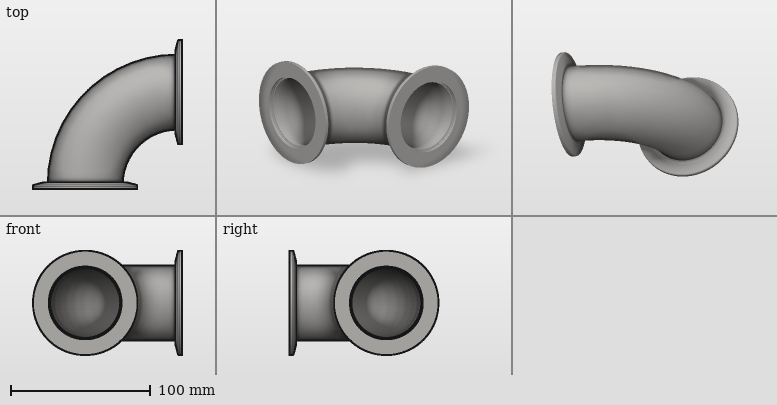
import cadquery as cq
import math

TUBE_BORE = 50.0
TUBE_OD = 54.0
LEG_LENGTH = 69.5

FLANGE_OD = 75.0
FLANGE_THICKNESS = 5.0
HUB_DIAMETER = 59.2
TAPER_ANGLE = 15.0
RIM_ROUND = 1.0
MOUTH_DIAMETER = 52.4
MOUTH_DEPTH = 2.0
STEP_DIAMETER = 51.7
STEP_DEPTH = 3.0
SOCKET_DEPTH = 3.5

BEND_RADIUS = LEG_LENGTH - SOCKET_DEPTH
TAPER_HEIGHT = (FLANGE_OD - HUB_DIAMETER) / 2 * math.tan(math.radians(TAPER_ANGLE))
RIM_HEIGHT = FLANGE_THICKNESS - TAPER_HEIGHT


def bore_cutter(diameter, depth):
    """Cylinder on the flange axis, from the sealing face to a depth."""
    return cq.Workplane("XY").circle(diameter / 2).extrude(depth)


def make_flange():
    """Flange with its sealing face on the XY plane and its hub toward +Z."""
    profile = [
        (0, 0),
        (FLANGE_OD / 2, 0),
        (FLANGE_OD / 2, RIM_HEIGHT),
        (HUB_DIAMETER / 2, FLANGE_THICKNESS),
        (0, FLANGE_THICKNESS),
    ]
    blank = cq.Workplane("XZ").polyline(profile).close().revolve(360, (0, 0), (0, 1))
    rim_edge = cq.selectors.NearestToPointSelector((0, 0, RIM_HEIGHT))
    return (
        blank.edges("%CIRCLE").edges(rim_edge).fillet(RIM_ROUND)
        .cut(bore_cutter(TUBE_BORE, FLANGE_THICKNESS))
        .cut(bore_cutter(STEP_DIAMETER, STEP_DEPTH))
        .cut(bore_cutter(MOUTH_DIAMETER, MOUTH_DEPTH))
    )


def make_quarter_bend(diameter):
    """Solid quarter-turn round bar between the two pipe ends."""
    return (
        cq.Workplane("XZ", origin=(0, -BEND_RADIUS, 0))
        .circle(diameter / 2)
        .revolve(90, (BEND_RADIUS, 0), (BEND_RADIUS, -1))
    )


bend = make_quarter_bend(TUBE_OD)
elbow = bend.cut(make_quarter_bend(TUBE_BORE))

placements = [
    ((1, 0, 0), -90, (0, -LEG_LENGTH, 0)),
    ((0, 1, 0), -90, (LEG_LENGTH, 0, 0)),
]
flanges = []
for turn_axis, turn_angle, face_centre in placements:
    flange = make_flange().rotate((0, 0, 0), turn_axis, turn_angle).translate(face_centre)
    flanges.append(flange.cut(bend).val())

result = cq.Compound.makeCompound([elbow.val(), *flanges])